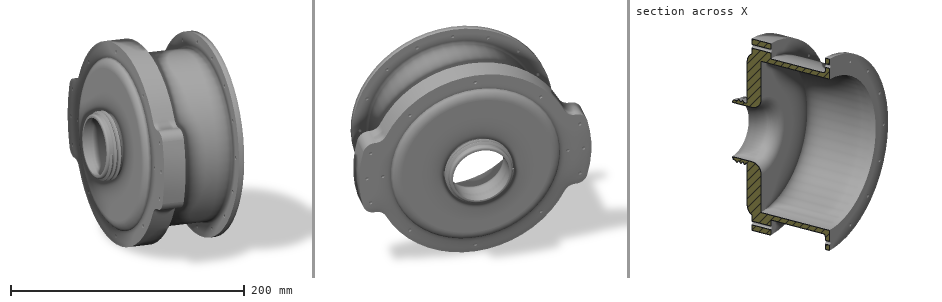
import cadquery as cq
import math


flange_thickness = 5.0
plate_thickness = 20.0
dome_height = 5.0
neck_length = 15.0
total_length = 101.0
dome_depth = total_length - neck_length
plate_front_depth = dome_depth - dome_height
plate_rear_depth = plate_front_depth - plate_thickness

flange_radius = 89.0
body_radius = 75.0
flange_fillet = 2.0
dome_round = 10.0
wall_thickness = 5.0
end_wall_thickness = 15.0
cavity_radius = body_radius - wall_thickness
cavity_depth = dome_depth - end_wall_thickness

plate_radius = flange_radius
ear_radius = 103.0
ear_height = 70.0
ear_fillet = 10.0

neck_radius = 28.0
neck_lip_fillet = 2.0
bore_radius = 25.0
bore_fillet = 10.0

thread_crest_radius = 30.0
thread_pitch = 4.0
thread_turns = 2.5
thread_base_width = 3.0
thread_crest_width = 0.4
thread_root_overlap = 0.5
thread_start_from_lip = 3.6

screw_diameter = 3.0
rim_hole_circle_radius = 82.0
flange_hole_count = 16
plate_hole_count = 8
ear_hole_circle_radius = 96.0
ear_hole_angles = (-15.0, 0.0, 15.0)


def section_at(depth):
    """XZ sketch plane at a depth; extruding a positive distance goes toward -Y."""
    return cq.Workplane("XZ", origin=(0, -depth, 0))


def polar_points(radius, angles):
    return [(radius * math.cos(math.radians(a)), radius * math.sin(math.radians(a))) for a in angles]


def even_angles(count):
    return [i * 360.0 / count for i in range(count)]


def make_housing():
    """Flange, drum, domed end and neck as one revolved outline."""
    round_centre_depth = dome_depth - dome_round
    dome_flat_radius = body_radius - math.sqrt(dome_round**2 - (dome_round - dome_height) ** 2)
    round_start_angle = math.asin((dome_round - dome_height) / dome_round)
    round_mid_angle = (round_start_angle + math.pi / 2) / 2
    round_mid = (
        dome_flat_radius + dome_round * math.cos(round_mid_angle),
        -(round_centre_depth + dome_round * math.sin(round_mid_angle)),
    )
    outline = (
        cq.Workplane("ZY")
        .lineTo(flange_radius, 0)
        .lineTo(flange_radius, -flange_thickness)
        .lineTo(body_radius + flange_fillet, -flange_thickness)
        .radiusArc((body_radius, -flange_thickness - flange_fillet), -flange_fillet)
        .lineTo(body_radius, -plate_front_depth)
        .threePointArc(round_mid, (dome_flat_radius, -dome_depth))
        .lineTo(neck_radius, -dome_depth)
        .lineTo(neck_radius, -total_length + neck_lip_fillet)
        .radiusArc((neck_radius - neck_lip_fillet, -total_length), neck_lip_fillet)
        .lineTo(0, -total_length)
        .close()
    )
    return outline.revolve(360, (0, 0, 0), (0, 1, 0))


def make_plate_ring():
    """Plate around the drum with an ear on each side, all outline corners blended."""
    plane = section_at(plate_rear_depth)
    disc = plane.circle(plate_radius).extrude(plate_thickness)
    ear_disc = plane.circle(ear_radius).extrude(plate_thickness)
    ear_band = plane.rect(2 * ear_radius, ear_height).extrude(plate_thickness)
    ears = ear_disc.intersect(ear_band)
    drum_opening = plane.circle(cavity_radius).extrude(plate_thickness)
    return disc.union(ears).edges("|Y").fillet(ear_fillet).cut(drum_opening)


def make_cavity():
    """Drum interior, open at the rear, with a rounded mouth into the neck bore."""
    outline = (
        cq.Workplane("ZY")
        .lineTo(cavity_radius, 0)
        .lineTo(cavity_radius, -cavity_depth)
        .lineTo(bore_radius + bore_fillet, -cavity_depth)
        .radiusArc((bore_radius, -cavity_depth - bore_fillet), -bore_fillet)
        .lineTo(bore_radius, -total_length)
        .lineTo(0, -total_length)
        .close()
    )
    return outline.revolve(360, (0, 0, 0), (0, 1, 0))


def make_thread():
    """Ridge that starts on the +X side near the lip and climbs toward the dome."""
    thread_height = thread_pitch * thread_turns
    root_radius = neck_radius - thread_root_overlap
    flank_slope = (thread_base_width - thread_crest_width) / (thread_crest_radius - neck_radius)
    root_width = thread_base_width + flank_slope * thread_root_overlap
    helix = cq.Wire.makeHelix(thread_pitch, thread_height, root_radius)
    ridge = (
        cq.Workplane("XZ")
        .moveTo(root_radius, -root_width / 2)
        .lineTo(thread_crest_radius, -thread_crest_width / 2)
        .lineTo(thread_crest_radius, thread_crest_width / 2)
        .lineTo(root_radius, root_width / 2)
        .close()
        .sweep(cq.Workplane(obj=helix), isFrenet=True)
    )
    start_y = -total_length + thread_start_from_lip
    return ridge.rotate((0, 0, 0), (1, 0, 0), -90).translate((0, start_y, 0))


def make_holes(depth, length, points):
    return section_at(depth).pushPoints(points).circle(screw_diameter / 2).extrude(length)


flange_holes = make_holes(
    0, flange_thickness, polar_points(rim_hole_circle_radius, even_angles(flange_hole_count))
)
ear_angles = [side + a for side in (0.0, 180.0) for a in ear_hole_angles]
plate_hole_points = polar_points(rim_hole_circle_radius, even_angles(plate_hole_count))
plate_hole_points += polar_points(ear_hole_circle_radius, ear_angles)
plate_holes = make_holes(plate_rear_depth, plate_thickness, plate_hole_points)

result = (
    make_housing()
    .cut(make_cavity())
    .union(make_plate_ring())
    .cut(flange_holes)
    .cut(plate_holes)
    .union(make_thread())
)